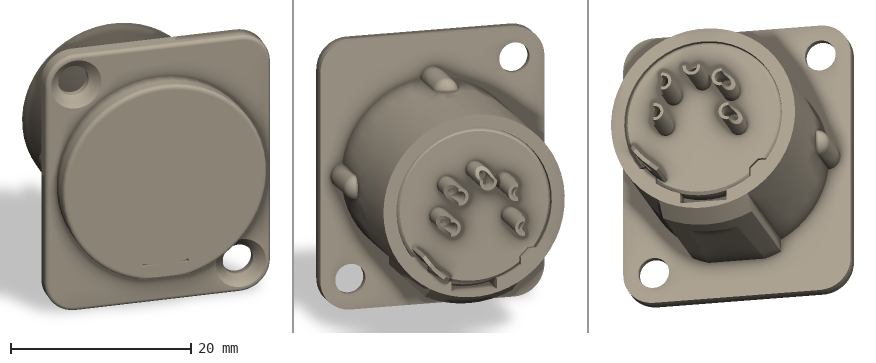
import cadquery as cq
import math


overall_length = 26.5

flange_width = 25.94
flange_height = 31.02
flange_thickness = 2.0
flange_corner_radius = 3.5
front_edge_radius = 0.45
screw_hole_diameter = 3.5
screw_head_diameter = 5.8
screw_head_angle = 90.0
screw_y = 9.5
screw_z = 12.0

lip_radius = 11.77
lip_front = 4.72
barrel_rear = -16.23
barrel_rear_radius = 10.5
barrel_front_radius = 10.55

key_width = 10.1
key_chamfer_length = 2.1
flat_rear = -11.75
flat_height_rear = -11.43
flat_height_front = -11.28

rib_radius = 1.4
rib_center_radius = 10.34
rib_nose_center = -5.05
rib_draft = 0.7

bore_radius = 9.0
insert_radius = 8.92
insert_chamfer = 0.32
gap_depth = 1.0
lug_side = 5.4
lug_flat_distance = 8.3
notch_side = 5.23
notch_flat_distance = 8.1

window_width = 5.3
window_floor = -9.78
window_depth = 2.0
tongue_radius = 9.8
tongue_chamfer = 0.25

pins = [
    (4.2, -0.75, -90),
    (3.3, 2.75, -90),
    (0.0, 4.25, 0),
    (-3.3, 2.75, 90),
    (-4.1, -1.3, 90),
]
pin_radius = 1.0
pin_tip = lip_front - overall_length
pin_anchor_depth = 2.0
cup_radius = 0.65
cup_depth = 3.2
cup_tip_angle = 118.0
scoop_height = 0.15
scoop_flat_length = 0.65
scoop_end = 3.0

tab_width = 4.1
tab_thickness = 0.43
tab_tip = -21.32
tab_inner_radius = 8.0
tab_chamfer = 0.85
tab_hole_diameter = 1.8
tab_hole_x = -18.88
tab_anchor_depth = 2.0
tab_angle = 45.0


def disc(radius, start, end):
    """Solid cylinder about the X axis between two X positions."""
    return cq.Workplane("YZ", origin=(start, 0, 0)).circle(radius).extrude(end - start)


def revolved(points):
    """Solid of revolution about X from an (x, radius) outline."""
    return cq.Workplane("XY").polyline(points).close().revolve(360, (0, 0, 0), (1, 0, 0))


def make_flange():
    flange = (
        cq.Workplane("YZ")
        .rect(flange_width, flange_height)
        .extrude(flange_thickness)
        .edges("|X")
        .fillet(flange_corner_radius)
        .faces(">X")
        .edges()
        .fillet(front_edge_radius)
    )
    return (
        flange.faces(">X")
        .workplane(centerOption="CenterOfBoundBox")
        .pushPoints([(-screw_y, screw_z), (screw_y, -screw_z)])
        .cskHole(screw_hole_diameter, screw_head_diameter, screw_head_angle)
    )


def make_barrel():
    return revolved([
        (barrel_rear, 0),
        (barrel_rear, barrel_rear_radius),
        (0, barrel_front_radius),
        (0, 0),
    ])


def make_lip():
    return disc(lip_radius, 0, lip_front).faces(">X").edges().fillet(front_edge_radius)


def make_latch_key():
    """Sector of a disc with a conical rear end, limited to the key width."""
    body = revolved([
        (barrel_rear, 0),
        (barrel_rear, barrel_rear_radius),
        (barrel_rear + key_chamfer_length, lip_radius),
        (0, lip_radius),
        (0, 0),
    ])
    length = -barrel_rear
    limits = cq.Workplane("XY").box(length, key_width, lip_radius, centered=(False, True, False))
    return body.intersect(limits.translate((barrel_rear, 0, -lip_radius)))


def make_flat_cutter():
    """Slightly sloping wedge below the latch key and the lip, clear of the flange."""
    def wedge(start, end):
        slope = (flat_height_front - flat_height_rear) / (lip_front - flat_rear)
        return (
            cq.Workplane("XZ")
            .polyline([
                (start, flat_height_rear + slope * (start - flat_rear)),
                (end, flat_height_rear + slope * (end - flat_rear)),
                (end, -flange_height / 2),
                (start, -flange_height / 2),
            ])
            .close()
            .extrude(flange_width / 2, both=True)
        )

    return wedge(flat_rear, 0).union(wedge(flange_thickness, lip_front))


def make_rib(angle):
    """Drafted round rib with a spherical nose; angle 0 is the top of the barrel."""
    base_radius = rib_radius - rib_nose_center * math.tan(math.radians(rib_draft))
    rib = (
        cq.Workplane("XY")
        .moveTo(rib_nose_center - rib_radius, 0)
        .radiusArc((rib_nose_center, rib_radius), rib_radius)
        .lineTo(0, base_radius)
        .lineTo(0, 0)
        .close()
        .revolve(360, (0, 0, 0), (1, 0, 0))
    )
    return rib.translate((0, 0, rib_center_radius)).rotate((0, 0, 0), (1, 0, 0), angle)


def make_corner_lug(side, flat_distance, y_sign):
    """Lower corner prism with Y and Z sides and a 45 degree face toward the axis."""
    corner = flat_distance * math.sqrt(2) - side
    outer = bore_radius
    points = [(side, corner), (corner, side), (outer, side), (outer, outer), (side, outer)]
    return (
        cq.Workplane("YZ", origin=(barrel_rear, 0, 0))
        .polyline([(y_sign * y, -z) for y, z in points])
        .close()
        .extrude(gap_depth)
    )


def make_insert_gap():
    """Lugged bore minus the notched, chamfered insert that sits in it."""
    bore = disc(bore_radius, barrel_rear, barrel_rear + gap_depth)
    insert = disc(insert_radius, barrel_rear, barrel_rear + gap_depth)
    insert = insert.faces("<X").edges().chamfer(insert_chamfer)
    for y_sign in (-1, 1):
        bore = bore.cut(make_corner_lug(lug_side, lug_flat_distance, y_sign))
        insert = insert.cut(make_corner_lug(notch_side, notch_flat_distance, y_sign))
    return bore.cut(insert)


def make_latch_window():
    """Slot along the whole connector, mostly filled by a chamfered tongue."""
    length = lip_front - barrel_rear
    slot = cq.Workplane("XY").box(length, window_width, -window_floor, centered=(False, True, False))
    slot = slot.translate((barrel_rear, 0, window_floor))
    insert = disc(insert_radius, barrel_rear, barrel_rear + window_depth)
    tongue = disc(tongue_radius, barrel_rear + window_depth, lip_front)
    tongue = tongue.faces("<X").edges().chamfer(tongue_chamfer)
    return slot.cut(insert).cut(tongue)


def make_pin(y, z, rotation):
    """Solder-cup pin along X with its scooped side turned to the given rotation."""
    length = barrel_rear + pin_anchor_depth - pin_tip
    pin = disc(pin_radius, 0, length)
    cone_length = cup_radius / math.tan(math.radians(cup_tip_angle / 2))
    cup = revolved([(0, 0), (0, cup_radius), (cup_depth, cup_radius), (cup_depth + cone_length, 0)])
    run = scoop_end - scoop_flat_length
    rise = pin_radius - scoop_height
    scoop_radius = (run**2 + rise**2) / (2 * rise)
    scoop = (
        cq.Workplane("XZ")
        .moveTo(0, scoop_height)
        .lineTo(scoop_flat_length, scoop_height)
        .radiusArc((scoop_end, pin_radius), -scoop_radius)
        .lineTo(0, pin_radius)
        .close()
        .extrude(pin_radius, both=True)
    )
    pin = pin.cut(cup).cut(scoop)
    return pin.rotate((0, 0, 0), (1, 0, 0), rotation).translate((pin_tip, y, z))


def make_tab():
    """Strip of a thin tube with two clipped corners and a hole, turned about the X axis."""
    tab_end = barrel_rear + tab_anchor_depth
    tube = disc(tab_inner_radius + tab_thickness, tab_tip, tab_end)
    tube = tube.cut(disc(tab_inner_radius, tab_tip, tab_end))
    outline = (
        cq.Workplane("XY")
        .center((tab_tip + tab_end) / 2, 0)
        .rect(tab_end - tab_tip, tab_width)
        .extrude(-bore_radius)
        .edges("|Z and <X")
        .chamfer(tab_chamfer)
    )
    hole = cq.Workplane("XY").center(tab_hole_x, 0).circle(tab_hole_diameter / 2).extrude(-bore_radius)
    return tube.intersect(outline).cut(hole).rotate((0, 0, 0), (1, 0, 0), tab_angle)


shell = make_barrel().union(make_latch_key()).union(make_lip())
shell = shell.cut(make_flat_cutter()).union(make_flange())
for rib_angle in (-90, 0, 90):
    shell = shell.union(make_rib(rib_angle))
shell = shell.cut(make_insert_gap()).cut(make_latch_window())
for pin_y, pin_z, cup_rotation in pins:
    shell = shell.union(make_pin(pin_y, pin_z, cup_rotation))
result = shell.union(make_tab())